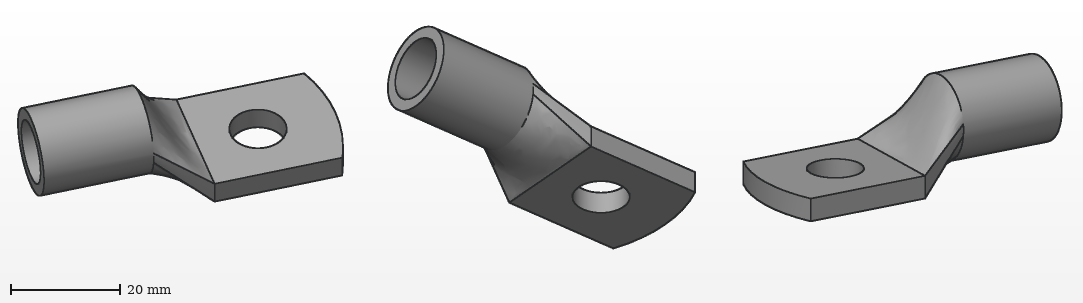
import cadquery as cq
import math

total_length = 58.4
palm_width = 24.0
palm_thickness = 4.45
palm_tip_sagitta = 2.4
hole_diameter = 10.5
hole_from_tip = 14.9

barrel_diameter = 16.45
bore_diameter = 12.05
barrel_length = 21.0
neck_length = 10.5
total_height = 18.5

side_wall_angle = 8.0
top_start_rise = 0.0
top_end_rise = 0.6

neck_spans = 5
wall_spans = 8

barrel_radius = barrel_diameter / 2
barrel_axis_z = total_height - barrel_radius
palm_start = barrel_length + neck_length
half_width = palm_width / 2


def barrel_cylinder(diameter):
    """Cylinder on the barrel axis, from the mouth to the neck."""
    axis = cq.Workplane("XZ", origin=(0, 0, barrel_axis_z))
    return axis.circle(diameter / 2).extrude(-barrel_length)


def rim_point(angle):
    """Point on the barrel's rim at the neck, angle measured from +X."""
    turn = math.radians(angle)
    x = barrel_radius * math.cos(turn)
    z = barrel_axis_z + barrel_radius * math.sin(turn)
    return cq.Vector(x, barrel_length, z)


def rim_arc(start, end):
    middle = (start + end) / 2
    return cq.Edge.makeThreePointArc(rim_point(start), rim_point(middle), rim_point(end))


def make_palm():
    """Flat tongue with a bowed tip and a stud hole."""
    shoulder = total_length - palm_tip_sagitta
    outline = (
        cq.Workplane("XY")
        .moveTo(-half_width, palm_start)
        .lineTo(half_width, palm_start)
        .lineTo(half_width, shoulder)
        .threePointArc((0, total_length), (-half_width, shoulder))
        .close()
        .extrude(palm_thickness)
    )
    hole = (
        cq.Workplane("XY")
        .center(0, total_length - hole_from_tip)
        .circle(hole_diameter / 2)
        .extrude(palm_thickness)
    )
    return outline.cut(hole)


def hollow_climb(travel):
    """Part of the rise reached along the neck's top centre line: a cubic Bezier curve."""
    back = 1 - travel
    start_term = 3 * travel * back**2 * top_start_rise
    end_term = 3 * travel**2 * back * top_end_rise
    return start_term + end_term + travel**3


def neck_point(palm_from, palm_to, start_angle, end_angle, across, travel, hollow):
    """Point on a neck wall, between a palm edge (travel 0) and its arc of the rim (travel 1)."""
    on_palm = palm_from + (palm_to - palm_from) * across
    on_rim = rim_point(start_angle + (end_angle - start_angle) * across)
    point = on_palm + (on_rim - on_palm) * travel
    if hollow:
        dip = (travel - hollow_climb(travel)) * math.sin(math.pi * across)
        point -= cq.Vector(0, 0, dip * (on_rim.z - on_palm.z))
    return point


def neck_section(travel):
    """Closed outline across the neck: right wall, top, left wall and bottom."""
    lower_right = cq.Vector(half_width, palm_start, 0)
    upper_right = cq.Vector(half_width, palm_start, palm_thickness)
    upper_left = cq.Vector(-half_width, palm_start, palm_thickness)
    lower_left = cq.Vector(-half_width, palm_start, 0)
    left_low = 180 + side_wall_angle
    left_high = 180 - side_wall_angle
    walls = [
        (lower_right, upper_right, -side_wall_angle, side_wall_angle, False),
        (upper_right, upper_left, side_wall_angle, left_high, True),
        (upper_left, lower_left, left_high, left_low, False),
        (lower_left, lower_right, left_low, 360 - side_wall_angle, False),
    ]
    edges = []
    for palm_from, palm_to, start_angle, end_angle, hollow in walls:
        if travel == 0:
            edges.append(cq.Edge.makeLine(palm_from, palm_to))
        elif travel == 1:
            edges.append(rim_arc(start_angle, end_angle))
        else:
            points = [
                neck_point(palm_from, palm_to, start_angle, end_angle, i / wall_spans, travel, hollow)
                for i in range(wall_spans + 1)
            ]
            edges.append(cq.Edge.makeSpline(points))
    return cq.Wire.assembleEdges(edges)


def make_neck():
    """Solid transition lofted from the palm's end to the barrel's rim."""
    sections = [neck_section(i / neck_spans) for i in range(neck_spans + 1)]
    return cq.Workplane(cq.Solid.makeLoft(sections))


barrel = barrel_cylinder(barrel_diameter).cut(barrel_cylinder(bore_diameter))
result = barrel.union(make_neck()).union(make_palm())